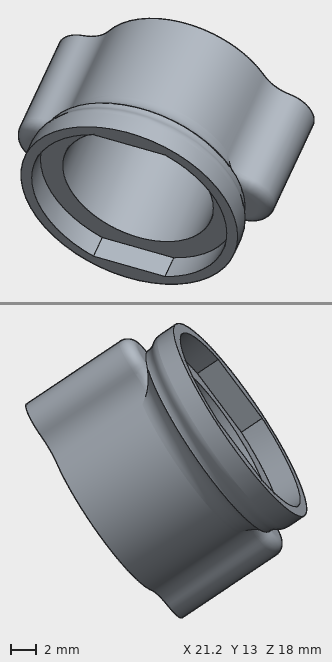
import cadquery as cq
import math

width = 21.23
length = 13.0
flange_radius = 18.0 / 2
neck_radius = 17.0 / 2
body_radius = 7.5
bore_radius = 12.5 / 2

flange_thickness = 1.53
neck_front = 2.89
neck_back = 3.01
flare_radius = 2.0

recess_radius = 16.2 / 2
recess_flat_spacing = 15.07
recess_depth = 2.0

lobe_end_rounding = 1.0
lobe_radius = 2.38
lobe_center = width / 2 - lobe_radius
blend_radius = 3.0


def make_cylinder(radius, depth):
    """Solid cylinder on the part axis, starting at the flange face."""
    return cq.Workplane("XZ").circle(radius).extrude(-depth)


def make_turned_body():
    """Flange, S-shaped shoulder, neck and concave flare down to the body."""
    shoulder_mid_radius = (flange_radius + neck_radius) / 2
    shoulder_mid_y = (flange_thickness + neck_front) / 2
    flare_center_radius = body_radius + flare_radius
    neck_angle = math.acos((flare_center_radius - neck_radius) / flare_radius)
    flare_back = neck_back + flare_radius * math.sin(neck_angle)
    flare_mid = (
        flare_center_radius - flare_radius * math.cos(neck_angle / 2),
        flare_back - flare_radius * math.sin(neck_angle / 2),
    )
    return (
        cq.Workplane("XY")
        .lineTo(flange_radius, 0)
        .lineTo(flange_radius, flange_thickness)
        .tangentArcPoint((shoulder_mid_radius, shoulder_mid_y), relative=False)
        .tangentArcPoint((neck_radius, neck_front), relative=False)
        .lineTo(neck_radius, neck_back)
        .threePointArc(flare_mid, (body_radius, flare_back))
        .lineTo(body_radius, length)
        .lineTo(0, length)
        .close()
        .revolve(360, (0, 0, 0), (0, 1, 0))
    )


def make_lobed_body():
    """Body outline with two blended lobes, its front edge rounded."""
    to_body = body_radius + blend_radius
    to_lobe = lobe_radius + blend_radius
    blend_x = (to_body**2 - to_lobe**2 + lobe_center**2) / (2 * lobe_center)
    blend_z = math.sqrt(to_body**2 - blend_x**2)
    body_x = blend_x * body_radius / to_body
    body_z = blend_z * body_radius / to_body
    lobe_x = lobe_center + (blend_x - lobe_center) * lobe_radius / to_lobe
    lobe_z = blend_z * lobe_radius / to_lobe

    outline = (
        cq.Workplane("XZ", origin=(0, neck_back, 0))
        .moveTo(-body_x, body_z)
        .threePointArc((0, body_radius), (body_x, body_z))
        .tangentArcPoint((lobe_x, lobe_z), relative=False)
        .threePointArc((width / 2, 0), (lobe_x, -lobe_z))
        .tangentArcPoint((body_x, -body_z), relative=False)
        .threePointArc((0, -body_radius), (-body_x, -body_z))
        .tangentArcPoint((-lobe_x, -lobe_z), relative=False)
        .threePointArc((-width / 2, 0), (-lobe_x, lobe_z))
        .tangentArcPoint((-body_x, body_z), relative=False)
        .close()
    )
    return outline.extrude(neck_back - length).faces("<Y").edges().fillet(lobe_end_rounding)


def make_recess():
    """Shallow round pocket with flats above and below."""
    flats = cq.Workplane("XZ").rect(width, recess_flat_spacing).extrude(-recess_depth)
    return make_cylinder(recess_radius, recess_depth).intersect(flats)


outside = make_turned_body().union(make_lobed_body())
result = outside.cut(make_cylinder(bore_radius, length)).cut(make_recess())